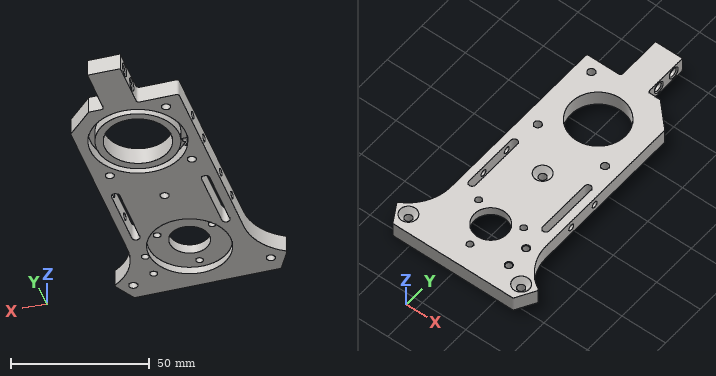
import cadquery as cq
import math

length = 124.8
thickness = 7.0
body_half_width = 22.0
shoulder_y = 104.9
tab_half_width = 6.2
corner_chamfer = 10.0

spoke_angle = math.radians(210)
foot_reach = 35.0
foot_half_width = 5.0
flare_radius = 20.0
corner_radius = 1.0
foot_tip_radius = 0.9

large_bore_y = 83.9
large_bore_diameter = 25.0
large_groove_inner_diameter = 31.0
large_groove_outer_diameter = 36.0
large_groove_depth = 4.5
large_bolt_offset = 15.5
large_bolt_diameter = 3.2

small_bore_y = 21.8
small_bore_diameter = 15.0
recess_diameter = 31.0
recess_depth = 3.0
ring_radius = 12.0
ring_hole_diameter = 2.7
ring_hole_angles = (30, 150, 270)

countersink_ring_radius = 30.0
countersink_hole_diameter = 3.2
countersink_diameter = 7.5
countersink_hole_angles = (90, 210, 330)
countersink_angle = 90

slot_x = 17.0
slot_y = 44.6
slot_length = 27.2
slot_width = 3.0

tapped_hole_ys = (11.0, 21.0)
tapped_hole_diameter = 2.7
tapped_hole_mouth = 3.2

tab_hole_ys = (111.1, 119.7)
tab_hole_diameter = 4.0
tab_hole_mouth = 5.0

edge_hole_diameter = 2.7
groove_edge_hole_ys = (74.5, 88.0)
slot_edge_hole_ys = (40.8, 54.3)


def foot_point(along, across):
    """Point on the left foot, measured along its spoke and across it (upward)."""
    ux = math.cos(spoke_angle)
    uy = math.sin(spoke_angle)
    return (along * ux + across * uy, small_bore_y + along * uy - across * ux)


def mirrored(point):
    return (-point[0], point[1])


def round_corners(solid, points, radius):
    """Fillet the upright edges that stand at the given outline points."""
    margin = 0.1
    for x, y in points:
        low = (x - margin, y - margin, 0)
        high = (x + margin, y + margin, thickness)
        solid = solid.edges("|Z").edges(cq.selectors.BoxSelector(low, high)).fillet(radius)
    return solid


def make_plate():
    """Plate with tab, chamfered shoulder and flared feet, without holes."""
    tip = foot_point(foot_reach, foot_half_width)
    base_reach = foot_reach + small_bore_y * math.sin(spoke_angle)
    base = (base_reach / math.cos(spoke_angle), 0)
    rise = (-body_half_width - tip[0]) * math.tan(spoke_angle)
    root = (-body_half_width, tip[1] + rise)
    shoulder = (-body_half_width, shoulder_y)
    tab_root = (-tab_half_width, shoulder_y)
    tab_end = (-tab_half_width, length)
    chamfer_top = (body_half_width - corner_chamfer, shoulder_y)
    chamfer_side = (body_half_width, shoulder_y - corner_chamfer)

    outline = [
        base, tip, root, shoulder, tab_root, tab_end,
        mirrored(tab_end), mirrored(tab_root), chamfer_top, chamfer_side,
        mirrored(root), mirrored(tip), mirrored(base),
    ]
    plate = cq.Workplane("XY").polyline(outline).close().extrude(thickness)

    plate = round_corners(plate, [root, mirrored(root)], flare_radius)
    plate = round_corners(plate, [tip, mirrored(tip)], foot_tip_radius)
    small_corners = [base, mirrored(base), shoulder, tab_root, mirrored(tab_root)]
    return round_corners(plate, small_corners, corner_radius)


def drill(points, diameter):
    """Cylinders that cut straight down through the plate."""
    return cq.Workplane("XY").pushPoints(points).circle(diameter / 2).extrude(thickness)


def ring_points(radius, angles):
    turns = [math.radians(angle) for angle in angles]
    return [(radius * math.cos(t), small_bore_y + radius * math.sin(t)) for t in turns]


def cross_hole(y, x_start, x_end, diameter):
    """Cylinder along X at mid thickness."""
    plane = cq.Workplane("YZ", origin=(x_start, y, thickness / 2))
    return plane.circle(diameter / 2).extrude(x_end - x_start)


def groove_mid_x(y):
    """Half width, at a given y, of the circle midway across the groove."""
    mid_radius = (large_groove_inner_diameter + large_groove_outer_diameter) / 4
    return math.sqrt(mid_radius ** 2 - (y - large_bore_y) ** 2)


def mouth(origin, outward, hole_diameter, mouth_diameter):
    """45 degree lead-in cone narrowing from a face into a hole."""
    depth = (mouth_diameter - hole_diameter) / 2
    inward = cq.Vector(*outward) * -1
    start = cq.Vector(*origin)
    cone = cq.Solid.makeCone(mouth_diameter / 2, hole_diameter / 2, depth, start, inward)
    return cq.Workplane(obj=cone)


result = make_plate()

result = result.cut(drill([(0, large_bore_y)], large_bore_diameter))
groove = (
    cq.Workplane("XY").center(0, large_bore_y)
    .circle(large_groove_outer_diameter / 2)
    .circle(large_groove_inner_diameter / 2)
    .extrude(large_groove_depth)
)
result = result.cut(groove)
large_bolts = [
    (sx * large_bolt_offset, large_bore_y + sy * large_bolt_offset)
    for sx, sy in ((-1, 1), (-1, -1), (1, -1))
]
result = result.cut(drill(large_bolts, large_bolt_diameter))

result = result.cut(drill([(0, small_bore_y)], small_bore_diameter))
recess = cq.Workplane("XY").center(0, small_bore_y).circle(recess_diameter / 2).extrude(recess_depth)
result = result.cut(recess)
result = result.cut(drill(ring_points(ring_radius, ring_hole_angles), ring_hole_diameter))

result = (
    result.faces(">Z").workplane(origin=(0, 0, thickness))
    .pushPoints(ring_points(countersink_ring_radius, countersink_hole_angles))
    .cskHole(countersink_hole_diameter, countersink_diameter, countersink_angle)
)

slots = (
    cq.Workplane("XY")
    .pushPoints([(-slot_x, slot_y), (slot_x, slot_y)])
    .slot2D(slot_length, slot_width, 90)
    .extrude(thickness)
)
result = result.cut(slots)

for y in tapped_hole_ys:
    result = result.cut(drill([(slot_x, y)], tapped_hole_diameter))
    rim = (slot_x, y, thickness)
    result = result.cut(mouth(rim, (0, 0, 1), tapped_hole_diameter, tapped_hole_mouth))

for y in tab_hole_ys:
    result = result.cut(cross_hole(y, -tab_half_width, tab_half_width, tab_hole_diameter))
    for side in (-1, 1):
        rim = (side * tab_half_width, y, thickness / 2)
        result = result.cut(mouth(rim, (side, 0, 0), tab_hole_diameter, tab_hole_mouth))

for y in groove_edge_hole_ys:
    result = result.cut(cross_hole(y, -body_half_width, -groove_mid_x(y), edge_hole_diameter))

for y in slot_edge_hole_ys:
    for x_start, x_end in ((-body_half_width, -slot_x), (slot_x, body_half_width)):
        result = result.cut(cross_hole(y, x_start, x_end, edge_hole_diameter))